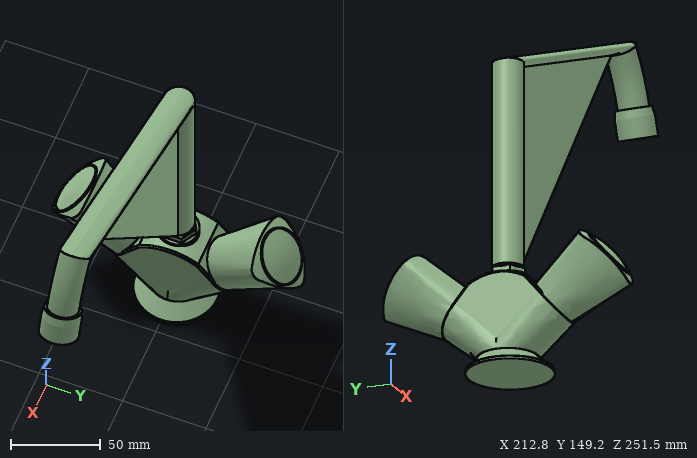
import cadquery as cq
import math

TOTAL_HEIGHT = 251.5

FOOT_DIAMETER = 50.0
FOOT_OFFSET = 3.0
FOOT_RIM_HEIGHT = 1.8
FOOT_HEIGHT = 8.0

BODY_BOTTOM_DIAMETER = 34.7
BODY_TOP = 55.0
BODY_WIDTH = 32.2
BODY_EDGE_CHAMFER = 1.0
SEAT_LIP = 1.0

HANDLE_TILT = 40.0
HANDLE_START_Y = 27.5
HANDLE_START_Z = 37.0
SEAT_DIAMETER = 32.7
HANDLE_FOOT_DIAMETER = 30.7
HANDLE_FOOT_DROP = 0.8
HANDLE_LENGTH = 44.8
CAP_DOME_RADIUS = 50.3
CAP_DROP = 3.3
CAP_RING_DIAMETER = 32.5
CAP_RING_WIDTH = 0.5
CAP_RING_DEPTH = 0.5

NUT_WASHER_DIAMETER = 23.1
NUT_WASHER_HEIGHT = 1.3
NUT_DIAMETER = 21.0
NUT_TOP = 60.4
NECK_DIAMETER = 16.5
COLUMN_BOTTOM = 61.9

TUBE_DIAMETER = 18.0
ARM_SLOPE = 21.7
ARM_REACH = 155.2
OUTLET_END_X = 173.8
FIN_THICKNESS = 6.0
FIN_TOP_X = 139.8

AERATOR_SMALL_DIAMETER = 21.0
AERATOR_DIAMETER = 23.0
AERATOR_CONE_LENGTH = 5.3
AERATOR_LENGTH = 17.0

TUBE_RADIUS = TUBE_DIAMETER / 2
ELBOW_TILT = 2 * ARM_SLOPE
ELBOW_Z = TOTAL_HEIGHT - TUBE_RADIUS * math.sin(math.radians(ELBOW_TILT))
COLUMN_TOP = ELBOW_Z - ARM_REACH * math.tan(math.radians(ARM_SLOPE))
OVERLAP = 2.5


def direction_below_horizontal(angle):
    """Unit vector in the XZ plane, heading toward +X and down by angle."""
    return cq.Vector(math.cos(math.radians(angle)), 0, -math.sin(math.radians(angle)))


def circle_wire(diameter, center, normal):
    return cq.Wire.makeCircle(diameter / 2, cq.Vector(*center), cq.Vector(*normal))


def cylinder(diameter, bottom, top):
    return cq.Workplane("XY").workplane(offset=bottom).circle(diameter / 2).extrude(top - bottom)


def ruled_solid(first_wire, second_wire):
    return cq.Workplane(cq.Solid.makeLoft([first_wire, second_wire], True))


def make_foot():
    up = (0, 0, 1)
    rim = cylinder(FOOT_DIAMETER, 0, FOOT_RIM_HEIGHT).translate((FOOT_OFFSET, 0, 0))
    skirt = ruled_solid(
        circle_wire(FOOT_DIAMETER - FOOT_RIM_HEIGHT, (FOOT_OFFSET, 0, FOOT_RIM_HEIGHT), up),
        circle_wire(BODY_BOTTOM_DIAMETER, (0, 0, FOOT_HEIGHT), up),
    )
    return rim.union(skirt)


def make_body():
    tilt = math.radians(HANDLE_TILT)
    seat_y = HANDLE_START_Y + SEAT_LIP * math.cos(tilt)
    seat_z = HANDLE_START_Z + SEAT_LIP * math.sin(tilt)
    shoulder_y = seat_y - SEAT_DIAMETER / 2 * math.sin(tilt)
    shoulder_z = seat_z + SEAT_DIAMETER / 2 * math.cos(tilt)
    block = (
        cq.Workplane("YZ")
        .workplane(offset=-BODY_WIDTH / 2)
        .moveTo(0, FOOT_HEIGHT + OVERLAP)
        .lineTo(seat_y, seat_z)
        .lineTo(shoulder_y, shoulder_z)
        .threePointArc((0, BODY_TOP), (-shoulder_y, shoulder_z))
        .lineTo(-seat_y, seat_z)
        .close()
        .extrude(BODY_WIDTH)
        .faces("<X or >X")
        .chamfer(BODY_EDGE_CHAMFER)
    )
    branch = ruled_solid(
        circle_wire(BODY_BOTTOM_DIAMETER, (0, 0, FOOT_HEIGHT), (0, 0, 1)),
        circle_wire(
            SEAT_DIAMETER,
            (0, -HANDLE_START_Y, HANDLE_START_Z),
            (0, -math.cos(tilt), math.sin(tilt)),
        ),
    )
    half_space = cq.Workplane("XY").box(
        TOTAL_HEIGHT, TOTAL_HEIGHT, TOTAL_HEIGHT, centered=(True, False, True)
    )
    branch = branch.cut(half_space)
    return branch.union(branch.mirror("XZ")).union(block)


def cap_outline(plane):
    """Rounded triangle, symmetric about local Y, with one lobe pointing down."""
    top_middle = (0, 15.0)
    top_end = (20.0, 9.8)
    corner_middle = (22.5, 6.0)
    corner_end = (21.4, 0.5)
    side_middle = (14.0, -14.3)
    side_end = (3.0, -27.5)
    lobe_tip = (0, -28.5)

    def mirrored(point):
        return (-point[0], point[1])

    return (
        plane.moveTo(*mirrored(top_end))
        .threePointArc(top_middle, top_end)
        .threePointArc(corner_middle, corner_end)
        .threePointArc(side_middle, side_end)
        .threePointArc(lobe_tip, mirrored(side_end))
        .threePointArc(mirrored(side_middle), mirrored(corner_end))
        .threePointArc(mirrored(corner_middle), mirrored(top_end))
        .close()
    )


def make_handle():
    """Handle toward -Y, modelled upright along Z and then tilted into place."""
    foot = cq.Workplane("XY").center(0, -HANDLE_FOOT_DROP).circle(HANDLE_FOOT_DIAMETER / 2)
    knob = cap_outline(foot.workplane(offset=HANDLE_LENGTH).center(0, HANDLE_FOOT_DROP)).loft(ruled=True)
    dome = cq.Workplane("XY").sphere(CAP_DOME_RADIUS)
    dome = dome.translate((0, -CAP_DROP, HANDLE_LENGTH - CAP_DOME_RADIUS))
    ring_radius = CAP_RING_DIAMETER / 2
    ring_drop = CAP_DOME_RADIUS - math.sqrt(CAP_DOME_RADIUS**2 - ring_radius**2)
    ring_bottom = HANDLE_LENGTH - ring_drop - CAP_RING_DEPTH
    ring = cylinder(CAP_RING_DIAMETER, ring_bottom, HANDLE_LENGTH).cut(
        cylinder(CAP_RING_DIAMETER - 2 * CAP_RING_WIDTH, ring_bottom, HANDLE_LENGTH)
    )
    return (
        knob.intersect(dome)
        .cut(ring.translate((0, -CAP_DROP, 0)))
        .rotate((0, 0, 0), (1, 0, 0), 90 - HANDLE_TILT)
        .translate((0, -HANDLE_START_Y, HANDLE_START_Z))
    )


def make_neck():
    washer_top = BODY_TOP + NUT_WASHER_HEIGHT
    washer = cylinder(NUT_WASHER_DIAMETER, BODY_TOP - OVERLAP, washer_top)
    nut = (
        cq.Workplane("XY")
        .workplane(offset=washer_top)
        .polygon(6, NUT_DIAMETER)
        .extrude(NUT_TOP - washer_top)
        .rotate((0, 0, 0), (0, 0, 1), 90)
    )
    return washer.union(nut).union(cylinder(NECK_DIAMETER, NUT_TOP - OVERLAP, COLUMN_BOTTOM + OVERLAP))


def make_spout():
    column = cylinder(TUBE_DIAMETER, COLUMN_BOTTOM, COLUMN_TOP)
    elbow = cq.Vector(ARM_REACH, 0, ELBOW_Z)
    elbow_heading = direction_below_horizontal(90 - ELBOW_TILT)
    outlet_heading = direction_below_horizontal(90 - ARM_SLOPE)

    arm = ruled_solid(
        circle_wire(TUBE_DIAMETER, (0, 0, COLUMN_TOP), (0, 0, 1)),
        circle_wire(TUBE_DIAMETER, elbow.toTuple(), (elbow_heading * -1).toTuple()),
    )

    chord_angle = 90 - (ELBOW_TILT + ARM_SLOPE) / 2
    outlet_x = OUTLET_END_X - ARM_REACH
    outlet_end = elbow + cq.Vector(outlet_x, 0, -outlet_x * math.tan(math.radians(chord_angle)))
    path = cq.Workplane(cq.Edge.makeTangentArc(elbow, elbow_heading, outlet_end))
    outlet = (
        cq.Workplane(cq.Plane(elbow, (0, 1, 0), elbow_heading))
        .circle(TUBE_RADIUS)
        .sweep(cq.Workplane(cq.Wire.assembleEdges(path.vals())))
    )
    aerator = (
        cq.Workplane(cq.Plane(outlet_end, (0, 1, 0), outlet_heading))
        .circle(AERATOR_SMALL_DIAMETER / 2)
        .workplane(offset=AERATOR_CONE_LENGTH)
        .circle(AERATOR_DIAMETER / 2)
        .loft()
        .faces(cq.selectors.DirectionMinMaxSelector(outlet_heading))
        .workplane()
        .circle(AERATOR_DIAMETER / 2)
        .extrude(AERATOR_LENGTH - AERATOR_CONE_LENGTH)
    )
    return column.union(arm).union(outlet).union(aerator)


def make_fin():
    fin_top_z = COLUMN_TOP + FIN_TOP_X * math.tan(math.radians(ARM_SLOPE))
    return (
        cq.Workplane("XZ")
        .moveTo(0, COLUMN_BOTTOM)
        .lineTo(0, COLUMN_TOP)
        .lineTo(FIN_TOP_X, fin_top_z)
        .lineTo(TUBE_RADIUS, COLUMN_BOTTOM)
        .close()
        .extrude(FIN_THICKNESS / 2, both=True)
    )


handle = make_handle()
result = (
    make_foot()
    .union(make_body())
    .union(handle)
    .union(handle.mirror("XZ"))
    .union(make_neck())
    .union(make_spout())
    .union(make_fin())
)